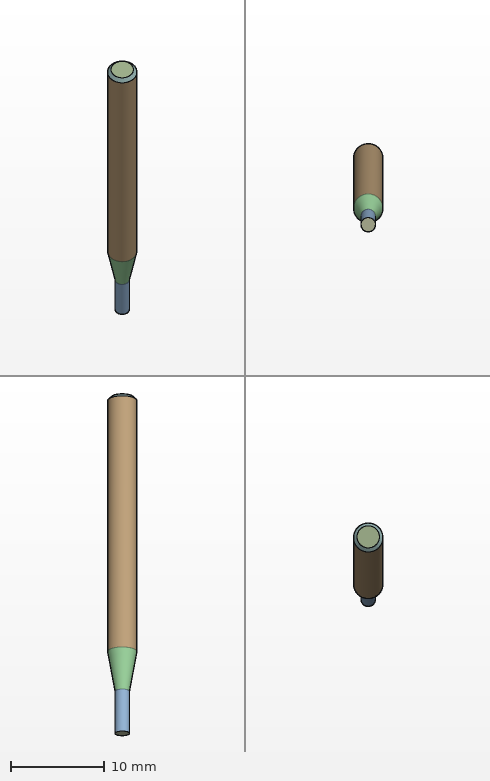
import cadquery as cq

total_length = 38.1
shank_diameter = 3.15
tip_diameter = 1.55

tip_length = 4.75
taper_length = 4.5
chamfer_size = 0.4

shank_radius = shank_diameter / 2
tip_radius = tip_diameter / 2
taper_top = tip_length + taper_length

profile = (
    cq.Workplane("XZ")
    .moveTo(0, 0)
    .lineTo(tip_radius, 0)
    .lineTo(tip_radius, tip_length)
    .lineTo(shank_radius, taper_top)
    .lineTo(shank_radius, total_length - chamfer_size)
    .lineTo(shank_radius - chamfer_size, total_length)
    .lineTo(0, total_length)
    .close()
)

result = profile.revolve(360, (0, 0, 0), (0, 1, 0))